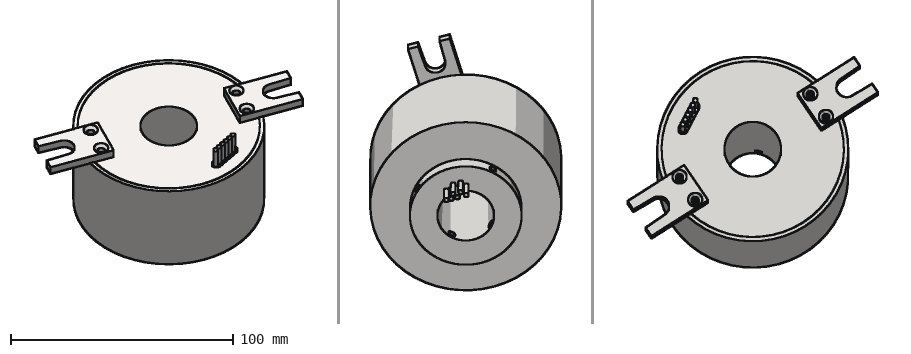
import math

import cadquery as cq

housing_radius = 43.0
housing_height = 45.2
bore_radius = 12.75

lid_radius = 41.0
lid_recess = 0.2

neck_radius = 22.0
neck_height = 1.8
flange_radius = 25.15
flange_height = 7.0
set_screw_diameter = 3.3
set_screw_count = 4
set_screw_first_angle = 45.0

plate_width = 19.6
plate_outer_y = 61.0
plate_length = 30.5
plate_thickness = 4.0
fork_mouth_width = 10.0
fork_root_width = 9.3
fork_root_y = 50.55
screw_half_spacing = 6.4
screw_y = 35.2
screw_hole_diameter = 3.3
screw_head_diameter = 6.4
countersink_angle = 90.0
pilot_diameter = 2.5
pilot_depth = 4.0
drill_point_angle = 118.0

wire_radius = 1.1
wire_pitch = 2.5
wire_count = 6
wire_exposed_length = 9.0
wire_slot_width = 4.2
wire_slot_length = 16.1
wire_slot_depth = 0.5
wire_row_radius = 32.2
wire_row_angle = 30.0
wire_row_shift = -0.3
wire_slot_shift = -0.1
lower_front_row_y = 14.75
lower_row_spacing = 2.1
lower_front_row_x = (-4.4, -0.3, 2.55, 4.85)
lower_back_row_x = (-2.4, 1.1)

lid_z = housing_height - lid_recess
flange_top_z = -neck_height
flange_bottom_z = flange_top_z - flange_height
plate_top_z = housing_height + plate_thickness


def cylinder(radius, bottom_z, top_z, x=0.0, y=0.0):
    return cq.Workplane("XY", origin=(x, y, bottom_z)).circle(radius).extrude(top_z - bottom_z)


def make_body():
    """Housing, neck and flange, with the shallow lid recess in the top face."""
    body = cylinder(housing_radius, 0, housing_height)
    body = body.union(cylinder(neck_radius, flange_top_z, 0))
    body = body.union(cylinder(flange_radius, flange_bottom_z, flange_top_z))
    return body.cut(cylinder(lid_radius, lid_z, housing_height))


def make_plate():
    """Mounting plate on the +Y side, with a tapered fork slot open to the outside."""
    plate_height = plate_top_z - lid_z
    plate_center_y = plate_outer_y - plate_length / 2
    plate = (
        cq.Workplane("XY", origin=(0, plate_center_y, lid_z))
        .rect(plate_width, plate_length)
        .extrude(plate_height)
    )
    root_radius = fork_root_width / 2
    fork = (
        cq.Workplane("XY", origin=(0, 0, lid_z))
        .moveTo(-fork_mouth_width / 2, plate_outer_y)
        .lineTo(-root_radius, fork_root_y)
        .threePointArc((0, fork_root_y - root_radius), (root_radius, fork_root_y))
        .lineTo(fork_mouth_width / 2, plate_outer_y)
        .close()
        .extrude(plate_height)
    )
    return plate.cut(fork)


def make_screw_hole(x):
    """Countersunk hole through the plate, then a drilled pilot with a conical end."""
    head_radius = screw_head_diameter / 2
    hole_radius = screw_hole_diameter / 2
    pilot_radius = pilot_diameter / 2
    sink_depth = (head_radius - hole_radius) / math.tan(math.radians(countersink_angle / 2))
    point_depth = pilot_radius / math.tan(math.radians(drill_point_angle / 2))
    pilot_bottom_z = housing_height - pilot_depth
    profile = [
        (0, plate_top_z),
        (head_radius, plate_top_z),
        (hole_radius, plate_top_z - sink_depth),
        (hole_radius, housing_height),
        (pilot_radius, housing_height),
        (pilot_radius, pilot_bottom_z),
        (0, pilot_bottom_z - point_depth),
    ]
    hole = cq.Workplane("XZ").polyline(profile).close().revolve(360, (0, 0), (0, 1))
    return hole.translate((x, screw_y, 0))


def add_plates(body):
    plate = make_plate()
    holes = make_screw_hole(-screw_half_spacing).union(make_screw_hole(screw_half_spacing))
    for mirrored in (False, True):
        side_plate = plate.mirror("XZ") if mirrored else plate
        side_holes = holes.mirror("XZ") if mirrored else holes
        body = body.union(side_plate).cut(side_holes)
    return body


def cut_set_screws(body):
    """Radial set-screw holes from the flange rim into the bore."""
    middle_z = (flange_top_z + flange_bottom_z) / 2
    hole = (
        cq.Workplane("YZ", origin=(0, 0, middle_z))
        .circle(set_screw_diameter / 2)
        .extrude(housing_radius)
    )
    for index in range(set_screw_count):
        angle = set_screw_first_angle + index * 360 / set_screw_count
        body = body.cut(hole.rotate((0, 0, 0), (0, 0, 1), angle))
    return body


def add_upper_wires(body):
    """Straight row of wires standing in a shallow slot, tangential to the axis."""
    row_length = (wire_count - 1) * wire_pitch
    floor_z = lid_z - wire_slot_depth
    slot = (
        cq.Workplane("XY", origin=(wire_row_radius, wire_slot_shift, floor_z))
        .slot2D(wire_slot_length, wire_slot_width, 90)
        .extrude(wire_slot_depth)
    )
    body = body.cut(slot.rotate((0, 0, 0), (0, 0, 1), wire_row_angle))
    for index in range(wire_count):
        offset = wire_row_shift + index * wire_pitch - row_length / 2
        wire = cylinder(wire_radius, floor_z, lid_z + wire_exposed_length, wire_row_radius, offset)
        body = body.union(wire.rotate((0, 0, 0), (0, 0, 1), wire_row_angle))
    return body


def add_lower_wires(body):
    """Two-row bundle of wires hanging from the flange underside."""
    rows = (
        (lower_front_row_y, lower_front_row_x),
        (lower_front_row_y + lower_row_spacing, lower_back_row_x),
    )
    for y, row_x in rows:
        for x in row_x:
            wire_end_z = flange_bottom_z - wire_exposed_length
            body = body.union(cylinder(wire_radius, wire_end_z, flange_bottom_z, x, y))
    return body


part = make_body()
part = part.cut(cylinder(bore_radius, flange_bottom_z, housing_height))
part = cut_set_screws(part)
part = add_plates(part)
part = add_upper_wires(part)
result = add_lower_wires(part)